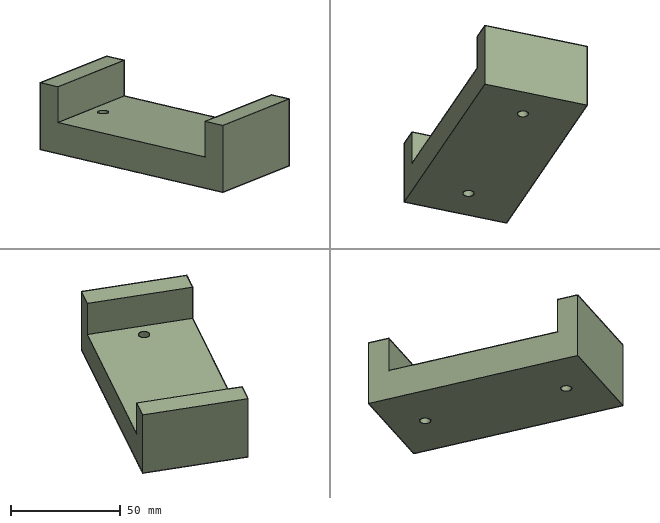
import cadquery as cq

length = 105.0
width = 50.0
height = 32.1

wall_thickness = 10.2
floor_thickness = 15.0
channel_length = length - 2 * wall_thickness
channel_depth = height - floor_thickness

hole_diameter = 5.0
hole_spacing = 70.8


def end_walled_block():
    """Block with a channel cut across its full width, leaving a wall at each end."""
    block = cq.Workplane("XY").box(length, width, height, centered=(True, True, False))
    channel = (
        cq.Workplane("XY")
        .workplane(offset=floor_thickness)
        .rect(channel_length, width)
        .extrude(channel_depth)
    )
    return block.cut(channel)


def mounting_holes():
    """Two vertical cylinders on the long centre line, as deep as the floor."""
    return (
        cq.Workplane("XY")
        .rarray(hole_spacing, 1, 2, 1)
        .circle(hole_diameter / 2)
        .extrude(floor_thickness)
    )


result = end_walled_block().cut(mounting_holes())